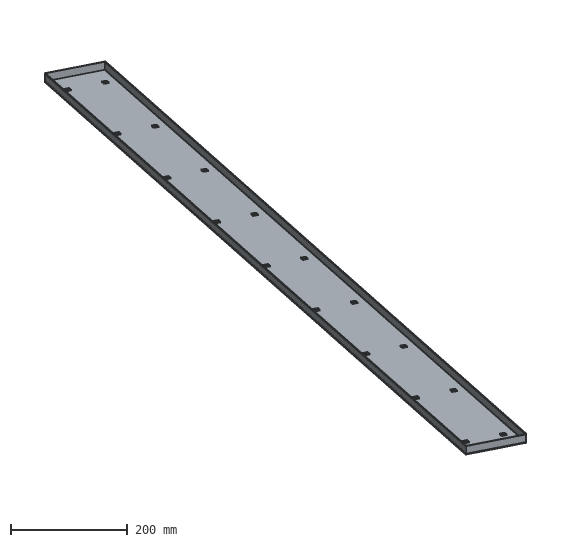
import cadquery as cq

length = 1697.0
width = 115.0
height = 16.5

sheet = 1.5

outer_radius = sheet

hole_side = 9.0
holes_per_row = 9
hole_pitch = 200.0
row_count = 2
row_spacing = 71.0


def rounded_block():
    """Solid envelope with rounded upright corners and bottom edges."""
    block = cq.Workplane("XY").box(length, width, height, centered=(True, True, False))
    block = block.edges("|Z").fillet(outer_radius)
    return block.faces("<Z").edges().fillet(outer_radius)


def tray_cavity():
    """Sharp-cornered space inside the walls, open at the top."""
    return (
        cq.Workplane("XY")
        .workplane(offset=sheet)
        .rect(length - 2 * sheet, width - 2 * sheet)
        .extrude(height - sheet)
    )


def floor_holes():
    """Square prisms for the hole pattern, centred on the floor."""
    return (
        cq.Workplane("XY")
        .rarray(hole_pitch, row_spacing, holes_per_row, row_count)
        .rect(hole_side, hole_side)
        .extrude(sheet)
    )


result = rounded_block().cut(tray_cavity()).cut(floor_holes())